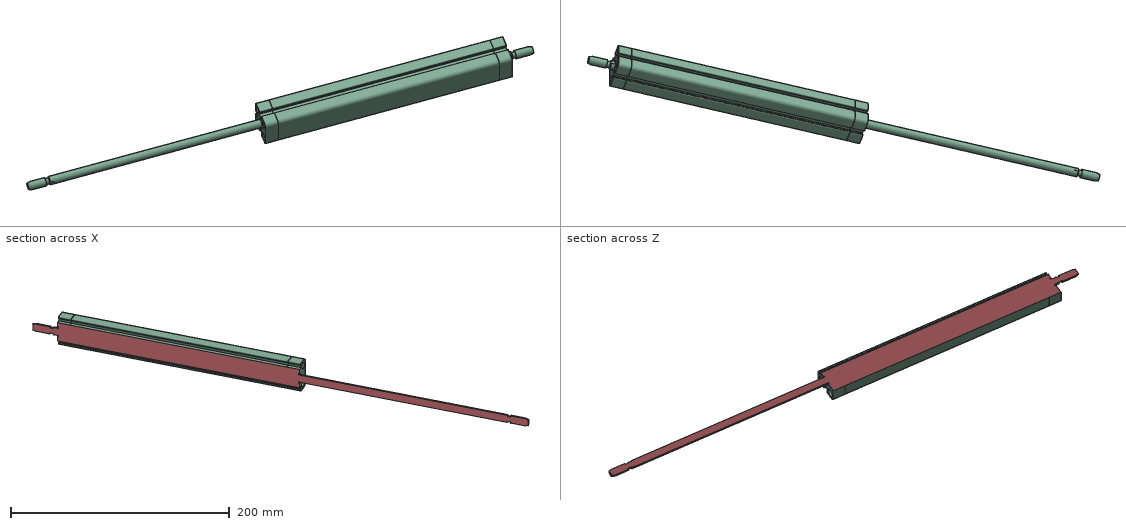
import cadquery as cq

TOTAL_LENGTH = 487.0
BODY_SIDE = 29.05
BODY_LENGTH = 238.0
REAR_ROD_PROJECTION = 24.5
CORNER_RADIUS = 3.5
BODY_REAR = TOTAL_LENGTH / 2 - REAR_ROD_PROJECTION
BODY_FRONT = BODY_REAR - BODY_LENGTH

CAP_LENGTH = 12.4
JOINT_WIDTH = 0.2
JOINT_DEPTH = 0.1

SLOT_OPENING = 5.2
SLOT_INNER_WIDTH = 7.2
SLOT_FLOOR_WIDTH = 6.8
SLOT_LIP = 2.0
SLOT_EDGE_RADIUS = 0.8
SLOT_DEPTH = 4.7
SLOT_ANGLES = (0, -90, 180)

HOLE_OFFSET = 9.0
COUNTERBORE_DIAMETER = 5.8
COUNTERBORE_DEPTH = 3.0
THREAD_CORE_DIAMETER = 3.24
THREAD_DEPTH = 12.0
SCREW_RECESS_DIAMETER = 7.5
SCREW_RECESS_DEPTH = 4.0
SCREW_HOLE_DIAMETER = 4.13
SCREW_HOLE_DEPTH = 12.0

ROD_DIAMETER = 8.0
BEARING_DIAMETER = 9.6
BEARING_DEPTH = 1.0
NECK_DIAMETER = 5.8
NECK_WIDTH = 3.0
SHOULDER_CHAMFER = 0.8
THREAD_LENGTH = 17.0
TIP_DIAMETER = 6.2
TIP_LENGTH = 3.0
FLATS_WIDTH = 7.0
FLATS_LENGTH = 4.0


def along_y(diameter, start, length):
    """Cylinder on the Y axis, growing towards +Y from `start`."""
    return cq.Workplane("XZ", origin=(0, start, 0)).circle(diameter / 2).extrude(-length)


def make_block():
    return (
        cq.Workplane("XZ", origin=(0, BODY_FRONT, 0))
        .rect(BODY_SIDE, BODY_SIDE)
        .extrude(-BODY_LENGTH)
        .edges("|Y")
        .fillet(CORNER_RADIUS)
    )


def make_slot():
    """Slot in the +Z face, running the full length of the body."""
    top = BODY_SIDE / 2
    lip = top - SLOT_LIP
    floor = top - SLOT_DEPTH
    edge = SLOT_OPENING / 2
    rounded_edge = edge + SLOT_EDGE_RADIUS
    return (
        cq.Workplane("XZ", origin=(0, BODY_FRONT, 0))
        .moveTo(rounded_edge, top)
        .radiusArc((edge, top - SLOT_EDGE_RADIUS), -SLOT_EDGE_RADIUS)
        .lineTo(edge, lip)
        .lineTo(SLOT_INNER_WIDTH / 2, lip)
        .lineTo(SLOT_FLOOR_WIDTH / 2, floor)
        .lineTo(-SLOT_FLOOR_WIDTH / 2, floor)
        .lineTo(-SLOT_INNER_WIDTH / 2, lip)
        .lineTo(-edge, lip)
        .lineTo(-edge, top - SLOT_EDGE_RADIUS)
        .radiusArc((-rounded_edge, top), -SLOT_EDGE_RADIUS)
        .close()
        .extrude(-BODY_LENGTH)
    )


def make_joint_groove(extrusion, y):
    """Fine groove following the whole outline of the extrusion, slots included."""
    start = y - JOINT_WIDTH / 2
    outline = extrusion.faces("<Y").wires().val().translate(cq.Vector(0, start - BODY_FRONT, 0))
    plane = cq.Workplane("XZ", origin=(0, start, 0))
    core = plane.add(outline).toPending().offset2D(-JOINT_DEPTH).extrude(-JOINT_WIDTH)
    surround = plane.rect(2 * BODY_SIDE, 2 * BODY_SIDE).extrude(-JOINT_WIDTH)
    return surround.cut(core)


def make_end_cuts():
    """Holes and bearing seat of the front end face."""
    cuts = along_y(BEARING_DIAMETER, BODY_FRONT, BEARING_DEPTH)
    for side in (-1, 1):
        threaded = (side * HOLE_OFFSET, 0, side * HOLE_OFFSET)
        screw = (side * HOLE_OFFSET, 0, -side * HOLE_OFFSET)
        for diameter, depth, place in (
            (COUNTERBORE_DIAMETER, COUNTERBORE_DEPTH, threaded),
            (THREAD_CORE_DIAMETER, THREAD_DEPTH, threaded),
            (SCREW_RECESS_DIAMETER, SCREW_RECESS_DEPTH, screw),
            (SCREW_HOLE_DIAMETER, SCREW_HOLE_DEPTH, screw),
        ):
            cuts = cuts.union(along_y(diameter, BODY_FRONT, depth).translate(place))
    return cuts


def make_body():
    extrusion = make_block()
    for angle in SLOT_ANGLES:
        extrusion = extrusion.cut(make_slot().rotate((0, 0, 0), (0, 1, 0), angle))
    body = extrusion
    for y in (BODY_FRONT + CAP_LENGTH, BODY_REAR - CAP_LENGTH):
        body = body.cut(make_joint_groove(extrusion, y))
    end_cuts = make_end_cuts()
    body_middle = (BODY_FRONT + BODY_REAR) / 2
    return body.cut(end_cuts).cut(end_cuts.mirror("XZ", (0, body_middle, 0)))


def make_rod():
    """Rod with a tapered thread end, an undercut neck and wrench flats at each end."""
    half = TOTAL_LENGTH / 2
    tip_start = half - TIP_LENGTH
    thread_start = half - THREAD_LENGTH
    shoulder = thread_start - NECK_WIDTH
    half_section = [
        (0, 0),
        (ROD_DIAMETER / 2, 0),
        (ROD_DIAMETER / 2, shoulder - SHOULDER_CHAMFER),
        (ROD_DIAMETER / 2 - SHOULDER_CHAMFER, shoulder),
        (NECK_DIAMETER / 2, shoulder),
        (NECK_DIAMETER / 2, thread_start),
        (ROD_DIAMETER / 2, thread_start),
        (ROD_DIAMETER / 2, tip_start),
        (TIP_DIAMETER / 2, half),
        (0, half),
    ]
    rear_half = cq.Workplane("XY").polyline(half_section).close().revolve(360, (0, 0, 0), (0, 1, 0))
    rod = rear_half.union(rear_half.mirror("XZ"))
    flat = cq.Workplane("XY").box(ROD_DIAMETER, FLATS_LENGTH, ROD_DIAMETER)
    flat_x = (FLATS_WIDTH + ROD_DIAMETER) / 2
    flat_y = shoulder - FLATS_LENGTH / 2
    for side in (-1, 1):
        for end in (-1, 1):
            rod = rod.cut(flat.translate((side * flat_x, end * flat_y, 0)))
    return rod


result = make_body().union(make_rod())